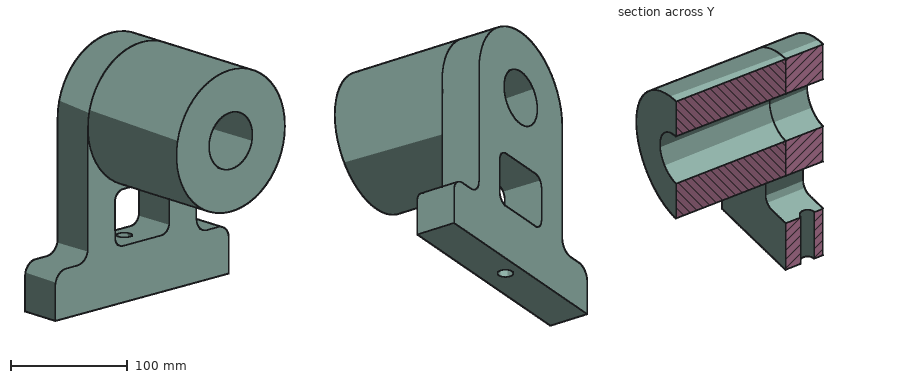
import cadquery as cq

total_length = 149.3
total_height = 228.5
base_width = 203.2

plate_thickness = 38.2
base_height = 44.3
barrel_diameter = 127.0
corner_radius = 12.5

bore_diameter = 50.7
head_radius = barrel_diameter / 2
axis_height = total_height - head_radius

window_width = barrel_diameter / 2
window_height = 50.7
window_bottom = 50.7
window_radius = 9.5

floor_hole_diameter = 13.5
floor_hole_setback = 15.8


def plate_outline():
    """Base foot with a round-headed upright rising from its middle."""
    foot = (
        cq.Workplane("YZ")
        .rect(base_width, base_height)
        .extrude(plate_thickness)
        .translate((0, 0, base_height / 2))
        .edges("|X and >Z")
        .fillet(corner_radius)
    )
    upright = (
        cq.Workplane("YZ")
        .moveTo(-head_radius, 0)
        .lineTo(head_radius, 0)
        .lineTo(head_radius, axis_height)
        .threePointArc((0, total_height), (-head_radius, axis_height))
        .close()
        .extrude(plate_thickness)
    )
    inner_corners = cq.selectors.BoxSelector(
        (0, -head_radius - corner_radius / 2, base_height - corner_radius / 2),
        (plate_thickness, head_radius + corner_radius / 2, base_height + corner_radius / 2),
    )
    return foot.union(upright).edges("|X").edges(inner_corners).fillet(corner_radius)


def bore(length):
    """Cutter on the barrel axis, starting at the front face of the plate."""
    return cq.Workplane("YZ").center(0, axis_height).circle(bore_diameter / 2).extrude(length)


def window():
    """Cutter for the rectangular window with rounded corners."""
    return (
        cq.Workplane("YZ")
        .center(0, window_bottom + window_height / 2)
        .rect(window_width, window_height)
        .extrude(plate_thickness)
        .edges("|X")
        .fillet(window_radius)
    )


def floor_hole():
    """Cutter for the vertical hole under the middle of the window."""
    return (
        cq.Workplane("XY")
        .center(floor_hole_setback, 0)
        .circle(floor_hole_diameter / 2)
        .extrude(window_bottom)
    )


def make_bracket():
    return plate_outline().cut(bore(plate_thickness)).cut(window()).cut(floor_hole())


def make_barrel():
    """Round barrel seated against the back face of the bracket."""
    return (
        cq.Workplane("YZ", origin=(plate_thickness, 0, axis_height))
        .circle(barrel_diameter / 2)
        .extrude(total_length - plate_thickness)
        .cut(bore(total_length))
    )


bracket = make_bracket()
barrel = make_barrel()

result = cq.Compound.makeCompound([bracket.val(), barrel.val()])